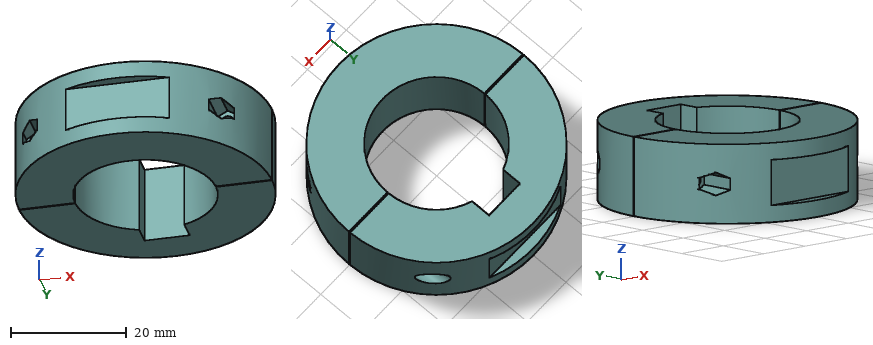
import cadquery as cq
import math

outer_diameter = 45.0
bore_diameter = 25.0
height = 14.0
split_gap = 0.25
keyway_width = 8.0
keyway_top = 15.8
flat_distance = 20.5
flat_height = 8.0
screw_offset = 17.0
screw_diameter = 2.0
head_diameter = 4.0
head_seat = 10.0
nut_width = 3.5
nut_seat = 10.0

outer_radius = outer_diameter / 2
nut_corner_diameter = nut_width / math.cos(math.pi / 6)


def half_ring(side):
    """Half of the collar, on the +Y (side = 1) or -Y (side = -1) side of the split,
    with its shallow flat-bottomed recess in the rim."""
    ring = (
        cq.Workplane("XY")
        .circle(outer_radius)
        .circle(bore_diameter / 2)
        .extrude(height / 2, both=True)
    )
    half_space = cq.Workplane("XY").box(
        outer_diameter, outer_radius, height, centered=(True, False, True)
    ).translate((0, split_gap / 2, 0))
    recess = cq.Workplane("XY").box(
        outer_diameter, outer_radius, flat_height, centered=(True, False, True)
    ).translate((0, flat_distance, 0))
    if side < 0:
        half_space = half_space.mirror("XZ")
        recess = recess.mirror("XZ")
    return ring.intersect(half_space).cut(recess)


def screw_plane(y):
    """Workplane at the given Y, facing -Y, with a point on each screw axis."""
    return cq.Workplane("XZ", origin=(0, y, 0)).pushPoints(
        [(-screw_offset, 0), (screw_offset, 0)]
    )


def screw_holes():
    """Clearance holes running right through both halves."""
    return screw_plane(0).circle(screw_diameter / 2).extrude(outer_radius, both=True)


def head_bores():
    """Round counterbores for the screw heads, open at the +Y rim."""
    depth = outer_radius - head_seat
    return screw_plane(outer_radius).circle(head_diameter / 2).extrude(depth)


def nut_pockets():
    """Hexagonal pockets open at the -Y rim, with corners pointing up and down."""
    depth = outer_radius - nut_seat
    corners = [
        (
            nut_corner_diameter / 2 * math.sin(index * math.pi / 3),
            nut_corner_diameter / 2 * math.cos(index * math.pi / 3),
        )
        for index in range(6)
    ]
    hexagon = cq.Sketch().polygon(corners + corners[:1])
    return screw_plane(-nut_seat).placeSketch(hexagon).extrude(depth)


def keyway():
    """Square-cornered keyway along the +Y side of the bore."""
    return cq.Workplane("XY").box(
        keyway_width, keyway_top, height, centered=(True, False, True)
    )


keyed_half = half_ring(1).cut(keyway()).cut(screw_holes()).cut(head_bores())
nut_half = half_ring(-1).cut(screw_holes()).cut(nut_pockets())

result = cq.Compound.makeCompound([keyed_half.val(), nut_half.val()])